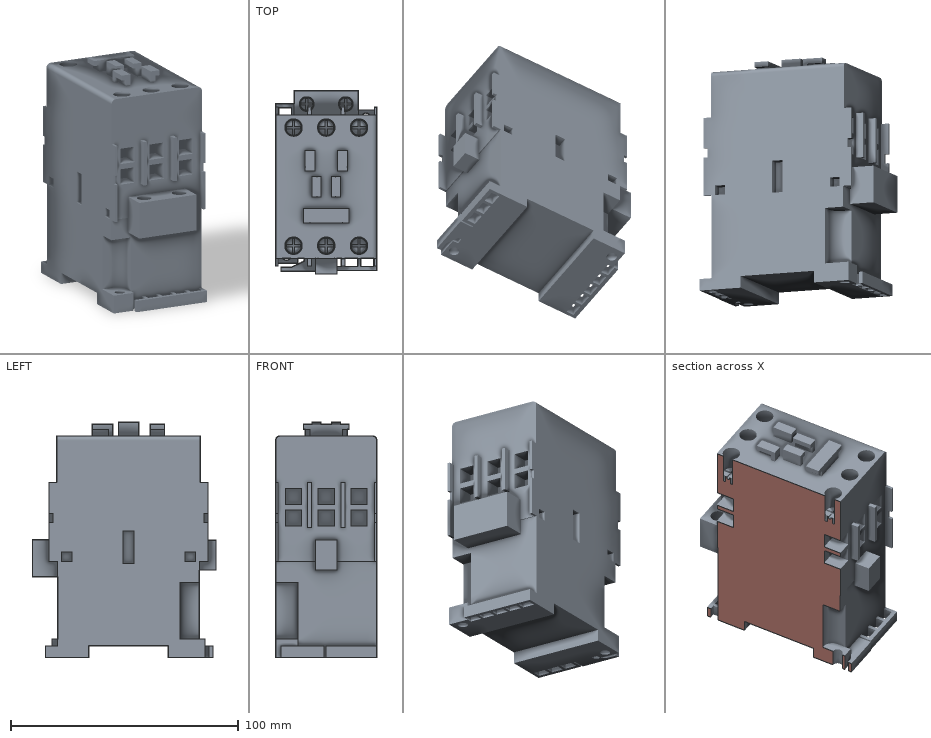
import cadquery as cq

WIDTH = 44.6
HALF_WIDTH = WIDTH / 2
UPPER_HALF_DEPTH = 31.6
LOWER_HALF_DEPTH = 31.2
SPLIT_Z = 42.2
TOP_Z = 97.5
TOP_EDGE_RADIUS = 2.1
FOOT_HEIGHT = 5.2
RAIL_HALF_SPAN = 17.4

FIN_REACH = 35.0
FIN_TOP_Z = 77.0
SIDE_FIN_THICKNESS = 1.1
SIDE_FIN_NOTCH_DEPTH = 1.8
SIDE_FIN_NOTCH_BOTTOM_Z = 59.3
SIDE_FIN_NOTCH_TOP_Z = 63.4
INNER_FIN_X = 7.3
INNER_FIN_THICKNESS = 1.7
INNER_FIN_BOTTOM_Z = 57.1

TERMINAL_PITCH = 14.4
WINDOW_SIZE = 7.0
WINDOW_DEPTH = 8.3
WINDOW_CENTRES_Z = (61.5, 70.9)

TERMINAL_Y = 26.0
TERMINAL_WELL_DIAMETER = 7.7
TERMINAL_HEAD_DIAMETER = 6.8
TERMINAL_WELL_DEPTH = 14.5
COIL_SCREW_X = 8.6
COIL_SCREW_Y = 36.3
COIL_WELL_DIAMETER = 6.4
COIL_HEAD_DIAMETER = 5.6
COIL_WELL_DEPTH = 8.3
HEAD_HEIGHT = 3.1
CROSS_SLOT_WIDTH = 1.0
CROSS_SLOT_DEPTH = 1.0

FRONT_BLOCK_WIDTH = 9.5
FRONT_BLOCK_Y = -38.5
FRONT_BLOCK_Z = (38.5, 51.6)
BACK_BLOCK_WIDTH = 28.2
BACK_BLOCK_Y = 42.2
BACK_BLOCK_Z = (35.5, 51.9)

SIDE_OPENING_DEPTH = 4.8
SIDE_SLOT_WIDTH = 5.0
SIDE_SLOT_Z = (41.4, 55.7)
SIDE_HOLE_Y = 27.2
SIDE_HOLE_WIDTH = 4.7
SIDE_HOLE_Z = (42.2, 46.4)

LUG_INNER_X = 12.5
LUG_REACH = 33.7
LUG_TOP_Z = 8.2
LUG_HOLE_X = 17.5
LUG_HOLE_Y = 30.0
LUG_HOLE_DIAMETER = 4.6
RECESS_DEPTH_END = 22.6
RECESS_RADIUS = 4.6
RECESS_TOP_Z = 32.9

BAR_THICKNESS = 1.9
FRONT_BAR_Y = -37.0
FRONT_BAR_LEFT_X = -0.2
BACK_BAR_Y = 36.5
RIB_THICKNESS = 1.5
FRONT_RIB_COUNT = 4
BACK_RIB_COUNT = 5
RIB_PITCH = (HALF_WIDTH - FRONT_BAR_LEFT_X - RIB_THICKNESS) / (FRONT_RIB_COUNT - 1)
CLIP_LEFT_X = -20.0
CLIP_RIGHT_X = -0.9
CLIP_Y = -37.3
CLIP_TAIL_Y = -35.4
CLIP_TAIL_END_X = -15.2
CLIP_ROOT_X = -9.7
CLIP_ROOT_Y = -32.7

TAB_LIP = 2.3
BRIDGE_TOP_Z = 102.7
BRIDGE_HALF_WIDTH = 10.0
BRIDGE_STEM_HALF_WIDTH = 7.2
BRIDGE_Y = (-15.9, -9.5)
REAR_TAB_X = (5.0, 9.3)
REAR_TAB_Y = (6.8, 15.9)
REAR_TAB_COLUMN = 1.9
MIDDLE_TAB_X = (2.4, 6.3)
MIDDLE_TAB_Y = (-4.6, 4.5)
MIDDLE_TAB_TOP_Z = 103.5
TAB_WEB = 2.3


def block(x, y, z):
    """Axis-aligned box from (low, high) pairs given in any order."""
    low = [min(pair) for pair in (x, y, z)]
    size = [abs(pair[1] - pair[0]) for pair in (x, y, z)]
    return cq.Workplane("XY").box(*size, centered=False).translate(tuple(low))


def cylinder(x, y, diameter, bottom, top):
    return cq.Workplane("XY", origin=(x, y, bottom)).circle(diameter / 2).extrude(top - bottom)


def mirror_x(shape):
    """The shape together with its mirror image across X = 0."""
    return shape.union(shape.mirror("YZ"))


def mirror_y(shape):
    """The shape together with its mirror image across Y = 0."""
    return shape.union(shape.mirror("XZ"))


def opposite_corner(shape):
    return shape.rotate((0, 0, 0), (0, 0, 1), 180)


def housing():
    full_width = (-HALF_WIDTH, HALF_WIDTH)
    upper = block(full_width, (-UPPER_HALF_DEPTH, UPPER_HALF_DEPTH), (SPLIT_Z, TOP_Z))
    upper = upper.edges("|Y and >Z").fillet(TOP_EDGE_RADIUS)
    lower = block(full_width, (-LOWER_HALF_DEPTH, LOWER_HALF_DEPTH), (0, SPLIT_Z))
    rail_channel = block(full_width, (-RAIL_HALF_SPAN, RAIL_HALF_SPAN), (0, FOOT_HEIGHT))
    return upper.union(lower).cut(rail_channel)


def fins():
    fin_y = (LOWER_HALF_DEPTH, FIN_REACH)
    side = block((HALF_WIDTH - SIDE_FIN_THICKNESS, HALF_WIDTH), fin_y, (SPLIT_Z, FIN_TOP_Z))
    notch = block(
        (HALF_WIDTH - SIDE_FIN_THICKNESS, HALF_WIDTH),
        (FIN_REACH - SIDE_FIN_NOTCH_DEPTH, FIN_REACH),
        (SIDE_FIN_NOTCH_BOTTOM_Z, SIDE_FIN_NOTCH_TOP_Z),
    )
    inner = block(
        (INNER_FIN_X - INNER_FIN_THICKNESS / 2, INNER_FIN_X + INNER_FIN_THICKNESS / 2),
        fin_y,
        (INNER_FIN_BOTTOM_Z, FIN_TOP_Z),
    )
    return mirror_x(mirror_y(side.cut(notch))).union(mirror_x(mirror_y(inner)))


def windows():
    """Two rows of wire entries on the front and back faces."""
    centres = [(column * TERMINAL_PITCH, z) for column in (-1, 0, 1) for z in WINDOW_CENTRES_Z]
    front = cq.Workplane("XZ", origin=(0, -UPPER_HALF_DEPTH, 0)).pushPoints(centres)
    return mirror_y(front.rect(WINDOW_SIZE, WINDOW_SIZE).extrude(-WINDOW_DEPTH))


def screw_well(x, y, surface_z, depth, well_diameter, head_diameter):
    """Round well that leaves a cross-slotted screw head standing on its floor."""
    floor_z = surface_z - depth
    head_top_z = floor_z + HEAD_HEIGHT
    well = cylinder(x, y, well_diameter, floor_z, surface_z)
    head = cylinder(x, y, head_diameter, floor_z, head_top_z)
    slot_centre = (x, y, head_top_z - CROSS_SLOT_DEPTH / 2)
    slot_length = head_diameter - CROSS_SLOT_WIDTH / 2
    for length_x, length_y in ((slot_length, CROSS_SLOT_WIDTH), (CROSS_SLOT_WIDTH, slot_length)):
        slot = cq.Workplane("XY").box(length_x, length_y, CROSS_SLOT_DEPTH)
        head = head.cut(slot.translate(slot_centre))
    return well.cut(head)


def side_openings():
    depth_range = (HALF_WIDTH - SIDE_OPENING_DEPTH, HALF_WIDTH)
    slot = block(depth_range, (-SIDE_SLOT_WIDTH / 2, SIDE_SLOT_WIDTH / 2), SIDE_SLOT_Z)
    hole_y = (SIDE_HOLE_Y - SIDE_HOLE_WIDTH / 2, SIDE_HOLE_Y + SIDE_HOLE_WIDTH / 2)
    hole = block(depth_range, hole_y, SIDE_HOLE_Z)
    return mirror_x(slot.union(mirror_y(hole)))


def coil_blocks():
    front = block((-FRONT_BLOCK_WIDTH / 2, FRONT_BLOCK_WIDTH / 2), (FRONT_BLOCK_Y, 0), FRONT_BLOCK_Z)
    back = block((-BACK_BLOCK_WIDTH / 2, BACK_BLOCK_WIDTH / 2), (0, BACK_BLOCK_Y), BACK_BLOCK_Z)
    return front.union(back)


def front_lug():
    return block((-HALF_WIDTH, -LUG_INNER_X), (-LUG_REACH, -RAIL_HALF_SPAN), (0, LUG_TOP_Z))


def front_lug_hole():
    return cylinder(-LUG_HOLE_X, -LUG_HOLE_Y, LUG_HOLE_DIAMETER, 0, LUG_TOP_Z)


def front_recess():
    """Corner recess above the lug, with a rounded inner corner."""
    recess = block(
        (-HALF_WIDTH, -LUG_INNER_X),
        (-LOWER_HALF_DEPTH, -RECESS_DEPTH_END),
        (LUG_TOP_Z, RECESS_TOP_Z),
    )
    return recess.edges("|Z and >X and >Y").fillet(RECESS_RADIUS)


def front_bar():
    foot = (0, FOOT_HEIGHT)
    bar = block((FRONT_BAR_LEFT_X, HALF_WIDTH), (FRONT_BAR_Y, FRONT_BAR_Y + BAR_THICKNESS), foot)
    for index in range(FRONT_RIB_COUNT):
        rib_right = HALF_WIDTH - index * RIB_PITCH
        rib = block((rib_right - RIB_THICKNESS, rib_right), (FRONT_BAR_Y, -LOWER_HALF_DEPTH), foot)
        bar = bar.union(rib)
    return bar


def back_bar():
    foot = (0, FOOT_HEIGHT)
    bar = block((-HALF_WIDTH, LUG_INNER_X), (BACK_BAR_Y - BAR_THICKNESS, BACK_BAR_Y), foot)
    for index in range(BACK_RIB_COUNT):
        rib_left = -HALF_WIDTH + index * RIB_PITCH
        rib = block((rib_left, rib_left + RIB_THICKNESS), (LOWER_HALF_DEPTH, BACK_BAR_Y), foot)
        bar = bar.union(rib)
    return bar


def rail_clip():
    outline = [
        (CLIP_LEFT_X, CLIP_Y),
        (CLIP_RIGHT_X, CLIP_Y),
        (CLIP_RIGHT_X, -LOWER_HALF_DEPTH),
        (CLIP_ROOT_X, -LOWER_HALF_DEPTH),
        (CLIP_ROOT_X, CLIP_ROOT_Y),
        (CLIP_TAIL_END_X, CLIP_TAIL_Y),
        (CLIP_LEFT_X, CLIP_TAIL_Y),
    ]
    return cq.Workplane("XY").polyline(outline).close().extrude(FOOT_HEIGHT)


def bridge():
    """Wide cap on a narrower stem, near the front of the top face."""
    lip_z = BRIDGE_TOP_Z - TAB_LIP
    cap = block((-BRIDGE_HALF_WIDTH, BRIDGE_HALF_WIDTH), BRIDGE_Y, (lip_z, BRIDGE_TOP_Z))
    stem = block((-BRIDGE_STEM_HALF_WIDTH, BRIDGE_STEM_HALF_WIDTH), BRIDGE_Y, (TOP_Z, lip_z))
    return cap.union(stem)


def rear_tabs():
    """Pair of tabs, each undercut on its outer side behind a full front column."""
    inner_x, outer_x = REAR_TAB_X
    front_y, back_y = REAR_TAB_Y
    tab = block(REAR_TAB_X, REAR_TAB_Y, (TOP_Z, BRIDGE_TOP_Z))
    undercut = block(
        (inner_x + TAB_WEB, outer_x),
        (front_y + REAR_TAB_COLUMN, back_y),
        (TOP_Z, BRIDGE_TOP_Z - TAB_LIP),
    )
    return mirror_x(tab.cut(undercut))


def middle_tabs():
    """Pair of tabs whose lips overhang towards the middle plane."""
    inner_x, outer_x = MIDDLE_TAB_X
    tab = block(MIDDLE_TAB_X, MIDDLE_TAB_Y, (TOP_Z, MIDDLE_TAB_TOP_Z))
    undercut = block((inner_x, outer_x - TAB_WEB), MIDDLE_TAB_Y, (TOP_Z, MIDDLE_TAB_TOP_Z - TAB_LIP))
    return mirror_x(tab.cut(undercut))


body = housing()
for recess in (front_recess(), opposite_corner(front_recess())):
    body = body.cut(recess)
body = body.cut(windows()).cut(side_openings())

for addition in (
    fins(),
    coil_blocks(),
    front_lug(),
    opposite_corner(front_lug()),
    front_bar(),
    back_bar(),
    rail_clip(),
    bridge(),
    rear_tabs(),
    middle_tabs(),
):
    body = body.union(addition)

for hole in (front_lug_hole(), opposite_corner(front_lug_hole())):
    body = body.cut(hole)
for column in (-1, 0, 1):
    for y in (-TERMINAL_Y, TERMINAL_Y):
        body = body.cut(
            screw_well(
                column * TERMINAL_PITCH,
                y,
                TOP_Z,
                TERMINAL_WELL_DEPTH,
                TERMINAL_WELL_DIAMETER,
                TERMINAL_HEAD_DIAMETER,
            )
        )
for x in (-COIL_SCREW_X, COIL_SCREW_X):
    body = body.cut(
        screw_well(x, COIL_SCREW_Y, BACK_BLOCK_Z[1], COIL_WELL_DEPTH, COIL_WELL_DIAMETER, COIL_HEAD_DIAMETER)
    )

result = body